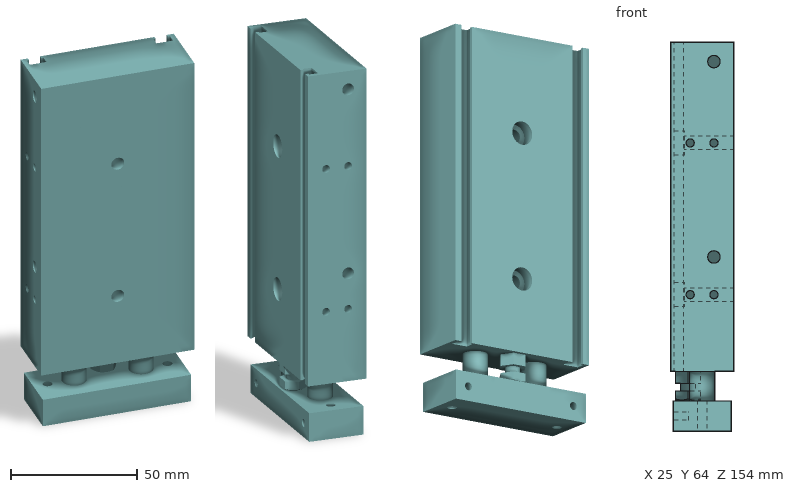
import cadquery as cq

total_height = 154.0
housing_thickness = 25.0
housing_width = 64.0
housing_bottom = 23.7
housing_height = total_height - housing_bottom

slot_offset = 26.5
slot_mouth_width = 5.1
slot_inner_width = 7.0
slot_lip = 1.4
slot_depth = 5.1

mount_heights = (54.0, 114.1)
mount_diameter = 5.4
counterbore_diameter = 9.5
counterbore_depth = 5.5

port_diameter = 5.0
port_depth = 7.7
port_heights = (69.0, 146.3)
screw_diameter = 3.2
screw_depth = 6.2
front_screw_x = 7.7
back_hole_x = 17.1

plate_thickness = 23.1
plate_width = 62.0
plate_height = 12.0
rod_diameter = 10.0
rod_offset = 14.0
plate_hole_diameter = 3.8
plate_hole_offset = 25.1

bolt_x = 6.8
hex_across_flats = 9.9
neck_diameter = 6.0
nut_bottom = 19.0
head_top = 16.0
head_chamfer = 0.8

middle_x = housing_thickness / 2

def cylinder_along_x(diameter, depth, y, z, start=0.0):
    return cq.Workplane(cq.Solid.makeCylinder(
        diameter / 2, depth, cq.Vector(start, y, z), cq.Vector(1, 0, 0)))

def side_hole(diameter, depth, x, z):
    """Cutter for a blind hole drilled into the -Y side of the housing."""
    return cq.Workplane(cq.Solid.makeCylinder(
        diameter / 2, depth, cq.Vector(x, -housing_width / 2, z), cq.Vector(0, 1, 0)))

def block(x_start, thickness, y_middle, width, bottom, height):
    """Box placed by its -X face, its middle in Y and its underside."""
    return (
        cq.Workplane("XY")
        .box(thickness, width, height, centered=(False, True, False))
        .translate((x_start, y_middle, bottom))
    )

def make_housing():
    body = block(0, housing_thickness, 0, housing_width, housing_bottom, housing_height)

    for y in (-slot_offset, slot_offset):
        body = body.cut(block(0, slot_depth, y, slot_mouth_width, housing_bottom, housing_height))
        body = body.cut(block(slot_lip, slot_depth - slot_lip, y, slot_inner_width,
                              housing_bottom, housing_height))

    for z in mount_heights:
        body = body.cut(cylinder_along_x(mount_diameter, housing_thickness, 0, z))
        body = body.cut(cylinder_along_x(counterbore_diameter, counterbore_depth, 0, z))
        for x in (front_screw_x, back_hole_x):
            body = body.cut(side_hole(screw_diameter, screw_depth, x, z))

    for z in port_heights:
        body = body.cut(side_hole(port_diameter, port_depth, back_hole_x, z))
    return body

def make_rod_plate():
    plate_start = middle_x - plate_thickness / 2
    body = block(plate_start, plate_thickness, 0, plate_width, 0, plate_height)

    for side in (-1, 1):
        rod = (
            cq.Workplane("XY", origin=(middle_x, side * rod_offset, 0))
            .circle(rod_diameter / 2)
            .extrude(housing_bottom)
        )
        body = body.union(rod)
        hole = (
            cq.Workplane("XY", origin=(middle_x, side * plate_hole_offset, 0))
            .circle(plate_hole_diameter / 2)
            .extrude(plate_height)
        )
        body = body.cut(hole)
        body = body.cut(cylinder_along_x(screw_diameter, screw_depth, side * plate_hole_offset,
                                         plate_height / 2, plate_start))
    return body

def hexagon(bottom, height):
    """Hexagonal prism with flats facing -X and +X."""
    return (
        cq.Workplane("XY", origin=(bolt_x, 0, bottom))
        .polygon(6, hex_across_flats, circumscribed=True)
        .extrude(height)
    )

def make_stop_bolt():
    corner_radius = hex_across_flats / 3 ** 0.5
    head_height = head_top - plate_height
    corner_cone = (
        cq.Workplane("XY", origin=(bolt_x, 0, plate_height))
        .circle(corner_radius)
        .extrude(head_height)
        .faces("<Z")
        .chamfer(head_chamfer, 2 * head_chamfer)
    )
    head = hexagon(plate_height, head_height).intersect(corner_cone)
    neck = (
        cq.Workplane("XY", origin=(bolt_x, 0, head_top))
        .circle(neck_diameter / 2)
        .extrude(nut_bottom - head_top)
    )
    nut = hexagon(nut_bottom, housing_bottom - nut_bottom)
    return head.union(neck).union(nut)

housing = make_housing()
rod_plate = make_rod_plate()
stop_bolt = make_stop_bolt()

result = cq.Compound.makeCompound([housing.val(), rod_plate.val(), stop_bolt.val()])